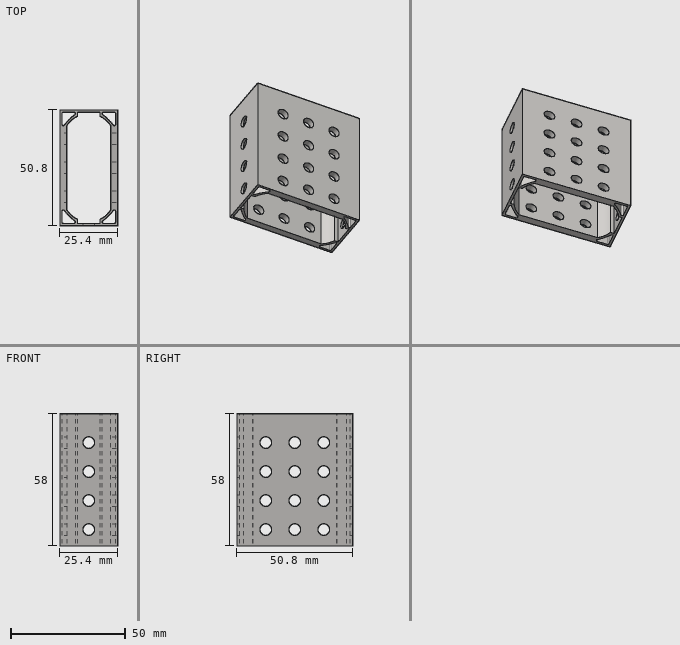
import cadquery as cq

width = 25.4
length = 50.8
height = 58.0
end_wall = 1.1
outer_wall = 1.0
side_wall = 3.1
end_opening = 9.75
step_depth = 2.85
side_depth = 7.0
web_rise = 0.45
pocket_leg = 6.9
pocket_fillet = 0.5
hole_diameter = 5.0

hole_pitch = width / 2
hole_rows = 4
cut_margin = 5.8
hole_heights = [height - hole_pitch * (row + 1) for row in range(hole_rows)]


def make_bore():
    """Through bore: arched corner webs, with a narrow slot reaching each end wall."""
    half_bore = width / 2 - side_wall
    half_slot = end_opening / 2
    side_end = length / 2 - side_depth
    step = length / 2 - step_depth
    slot_end = length / 2 - end_wall
    return (
        cq.Workplane("XY")
        .moveTo(half_bore, -side_end)
        .lineTo(half_bore, side_end)
        .sagittaArc((half_slot, step), -web_rise)
        .lineTo(half_slot, slot_end)
        .lineTo(-half_slot, slot_end)
        .lineTo(-half_slot, step)
        .sagittaArc((-half_bore, side_end), -web_rise)
        .lineTo(-half_bore, -side_end)
        .sagittaArc((-half_slot, -step), -web_rise)
        .lineTo(-half_slot, -slot_end)
        .lineTo(half_slot, -slot_end)
        .lineTo(half_slot, -step)
        .sagittaArc((half_bore, -side_end), -web_rise)
        .close()
        .extrude(height)
    )


def make_corner_pocket():
    """Triangular through pocket in the +X +Y corner, behind an arched web."""
    corner_x = width / 2 - outer_wall
    corner_y = length / 2 - end_wall
    return (
        cq.Workplane("XY")
        .moveTo(corner_x, corner_y)
        .lineTo(corner_x - pocket_leg, corner_y)
        .sagittaArc((corner_x, corner_y - pocket_leg), web_rise)
        .close()
        .extrude(height)
        .edges("|Z")
        .fillet(pocket_fillet)
    )


def make_holes(plane, across_positions, depth):
    """Grid of holes drilled through both opposite walls."""
    points = [(across, z) for across in across_positions for z in hole_heights]
    return (
        cq.Workplane(plane)
        .pushPoints(points)
        .circle(hole_diameter / 2)
        .extrude(depth / 2 + cut_margin, both=True)
    )


result = cq.Workplane("XY").rect(width, length).extrude(height)
result = result.cut(make_bore())

pocket = make_corner_pocket()
pocket_pair = pocket.union(pocket.mirror("YZ"))
result = result.cut(pocket_pair).cut(pocket_pair.mirror("XZ"))

result = result.cut(make_holes("YZ", (-hole_pitch, 0, hole_pitch), width))
result = result.cut(make_holes("XZ", (0,), length))